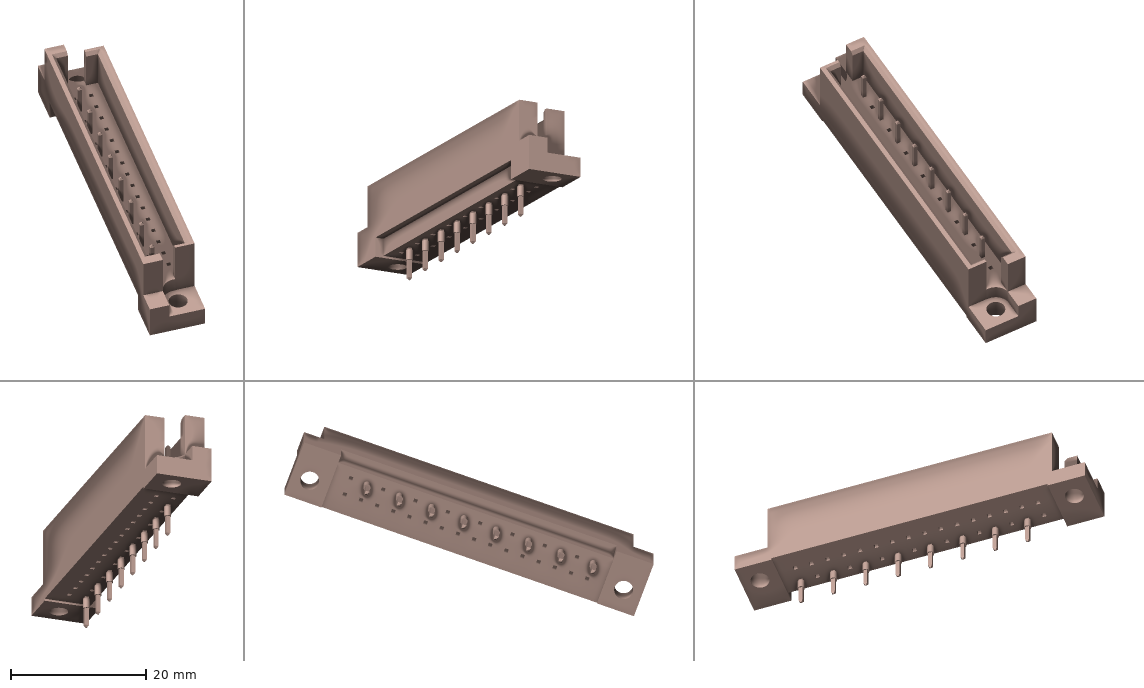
import cadquery as cq


length = 55.0
depth = 8.6
height = 11.6

ear_top = 2.95
floor_top = 5.3
base_bottom = 0.35

front_wall_length = 48.6
back_wall_length = 44.65
front_cavity_length = back_wall_length
back_cavity_length = 42.7
wall_thickness = 1.2
lead_in = 0.5
side_gap = 2.55

recess_length = 43.35
recess_depth = 1.3
recess_top = ear_top

hole_spacing = 49.4
hole_y = 1.0
hole_diameter = 2.8
seat_radius = 2.3

columns = 16
column_span = 38.1
column_pitch = column_span / (columns - 1)
row_pitch = 2.65
pin_width = 0.6
pin_top = 9.95
pin_bottom = -4.6
tip_taper_height = 0.35
tip_inset = 0.2
collar_diameter = 1.05
collar_height = 1.55

front_y = -depth / 2
back_y = depth / 2
gap_front = -side_gap / 2
gap_back = side_gap / 2
row_y = row_pitch / 2


def block(x_min, x_max, y_min, y_max, z_min, z_max):
    """Axis-aligned box between the given limits."""
    box = cq.Workplane("XY").box(x_max - x_min, y_max - y_min, z_max - z_min, centered=False)
    return box.translate((x_min, y_min, z_min))


def bar(bar_length, y_min, y_max, z_min, z_max):
    """Box centred on X = 0."""
    return block(-bar_length / 2, bar_length / 2, y_min, y_max, z_min, z_max)


def column_x(column):
    """X of a contact column, counted from the -X end."""
    return column * column_pitch - column_span / 2


def shroud_wall(wall_length, cavity_length, y_min, y_max):
    """C-shaped wall: a solid bar hollowed by the cavity and its lead-in chamfer."""
    cavity_depth = depth - 2 * wall_thickness
    cavity = bar(cavity_length, -cavity_depth / 2, cavity_depth / 2, floor_top, height)
    mouth = (
        cq.Workplane("XY").workplane(offset=height)
        .rect(cavity_length + 2 * lead_in, cavity_depth + 2 * lead_in)
        .workplane(offset=-lead_in)
        .rect(cavity_length, cavity_depth)
        .loft(ruled=True)
    )
    return bar(wall_length, y_min, y_max, floor_top, height).cut(cavity).cut(mouth)


def screw_seat():
    """Pocket above the +X ear's screw seat: open at the end and back, rounded towards the cavity."""
    x_end = length / 2
    end_strip = block(hole_spacing / 2, x_end, gap_front, back_y, ear_top, height)
    back_strip = block(back_wall_length / 2, x_end, gap_back, back_y, ear_top, height)
    rounding = cq.Workplane("XY").circle(seat_radius).extrude(height - ear_top)
    rounding = rounding.translate((hole_spacing / 2, hole_y, ear_top))
    rounding = rounding.intersect(bar(length, gap_front, gap_back, ear_top, height))
    return end_strip.union(back_strip).union(rounding)


def make_housing():
    body = bar(length, front_y, back_y, 0, floor_top)
    body = body.union(shroud_wall(front_wall_length, front_cavity_length, front_y, gap_front))
    body = body.union(shroud_wall(back_wall_length, back_cavity_length, gap_back, back_y))

    hole = cq.Workplane("XY").circle(hole_diameter / 2).extrude(ear_top)
    ear_cut = screw_seat().union(hole.translate((hole_spacing / 2, hole_y, 0)))
    body = body.cut(ear_cut).cut(ear_cut.mirror("YZ"))

    body = body.cut(bar(recess_length, front_y, front_y + recess_depth, 0, recess_top))
    body = body.cut(bar(recess_length, front_y, back_y, 0, base_bottom))

    centers = [(column_x(column), y) for column in range(columns) for y in (-row_y, row_y)]
    holes = cq.Workplane("XY").pushPoints(centers).rect(pin_width, pin_width).extrude(floor_top)
    return body.cut(holes)


def pin_tip(z_shoulder, z_end):
    """Square tip narrowing from the full pin width to its end."""
    end_width = pin_width - 2 * tip_inset
    return (
        cq.Workplane("XY").workplane(offset=z_shoulder)
        .rect(pin_width, pin_width)
        .workplane(offset=z_end - z_shoulder)
        .rect(end_width, end_width)
        .loft(ruled=True)
    )


def make_pin(x, y):
    """Square contact pin with tapered ends and a round collar below the housing."""
    shaft_bottom = pin_bottom + tip_taper_height
    shaft_top = pin_top - tip_taper_height
    half = pin_width / 2
    shaft = block(-half, half, -half, half, shaft_bottom, shaft_top)
    collar = cq.Workplane("XY").circle(collar_diameter / 2).extrude(-collar_height)
    pin = shaft.union(collar)
    pin = pin.union(pin_tip(shaft_top, pin_top)).union(pin_tip(shaft_bottom, pin_bottom))
    return pin.translate((x, y, 0))


housing = make_housing()

pins = [make_pin(column_x(column), -row_y) for column in range(1, columns, 2)]

result = cq.Compound.makeCompound([housing.val(), *[pin.val() for pin in pins]])